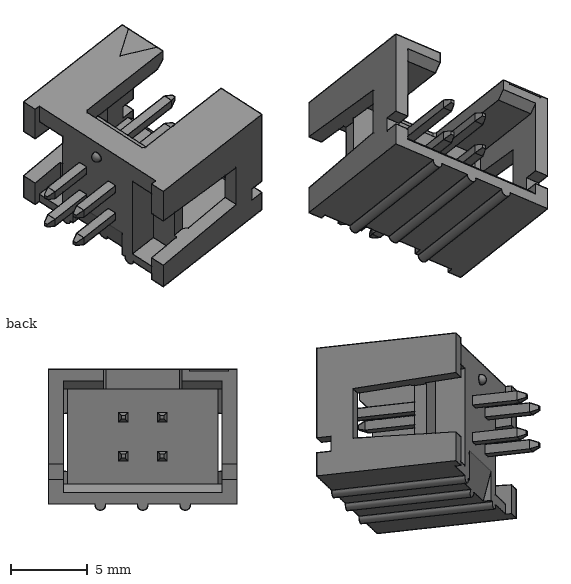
import cadquery as cq


WIDTH = 12.3
HEIGHT = 8.81
EAR_DEPTH = 9.59
WALL_DEPTH = 9.19
EAR_WIDTH = 1.03

CAVITY_WIDTH = 10.33
CAVITY_DEPTH = 6.33
PLATE = 1.31
CORNER_CHAMFER = 0.25
LEAD_IN = 0.54

SLOT_WIDTH = 5.1
SLOT_DEPTH = 7.53
SLOT_CHAMFER = 0.15

WINDOW_START = 2.5
WINDOW_FRONT_BOTTOM = 2.33
WINDOW_FRONT_TOP = 5.74
WINDOW_REAR_BOTTOM = 1.99
WINDOW_REAR_TOP = 6.08
WINDOW_CUT = WIDTH / 2 - CAVITY_WIDTH / 2 + CORNER_CHAMFER

NOTCH_DEPTH = 0.99
NOTCH_BOTTOM = 1.6
NOTCH_HEIGHT = 1.03

PIN_BLOCK_WIDTH = 6.15
POCKET_DEPTH = 2.04
POCKET_BOTTOM = 0.68
POCKET_TOP = 7.38

RELIEF_WIDTH = 4.35
RELIEF_HEIGHT = 2.0
RELIEF_DEPTH = 0.54

CRUSH_RADIUS = 0.35
CRUSH_BASE = 0.05
CRUSH_HEIGHT = CRUSH_BASE + CRUSH_RADIUS
RIB_PITCH = 2.77
BUMP_HEIGHT = 7.6

MARK_X = -4.33
MARK_WIDTH = 2.54
MARK_LENGTH = 2.23
MARK_THICKNESS = 0.13

PIN_SIDE = 0.64
PIN_PITCH = 2.54
POST_LENGTH = 5.95
TAIL_LENGTH = 3.63
TIP_SIDE = 0.25
TIP_LENGTH = 0.55
PIN_POSITIONS = [
    (column * PIN_PITCH / 2, HEIGHT / 2 + row * PIN_PITCH / 2)
    for column in (-1, 1)
    for row in (-1, 1)
]


def block(x_min, x_max, y_min, y_max, z_min, z_max):
    """Box between the given limits."""
    size = (x_max - x_min, y_max - y_min, z_max - z_min)
    return cq.Workplane("XY").box(*size, centered=False).translate((x_min, y_min, z_min))


def side_profile(points, x_min, x_max):
    """Prism along X of an outline given as (y, z) points."""
    return cq.Workplane("YZ").polyline(points).close().extrude(x_max - x_min).translate((x_min, 0, 0))


def body_with_ears():
    """Outer block whose mounting face is set back between the two end ears."""
    body = block(-WIDTH / 2, WIDTH / 2, -EAR_DEPTH, 0, 0, HEIGHT)
    ear_inner = WIDTH / 2 - EAR_WIDTH
    return body.cut(block(-ear_inner, ear_inner, -EAR_DEPTH, -WALL_DEPTH, 0, HEIGHT))


def cavity():
    """Mating cavity with chamfered inner corners and a lead-in above and below the mouth."""
    half = CAVITY_WIDTH / 2
    main = block(-half, half, -CAVITY_DEPTH, 0, PLATE, HEIGHT - PLATE)
    main = main.faces("<Y").edges("|Z").chamfer(CORNER_CHAMFER)
    lead_in = side_profile(
        [
            (0, PLATE - LEAD_IN),
            (0, HEIGHT - PLATE + LEAD_IN),
            (-LEAD_IN, HEIGHT - PLATE),
            (-LEAD_IN, PLATE),
        ],
        -half,
        half,
    )
    return main.union(lead_in)


def top_slot():
    """Slot through the top plate, running past the cavity into the rear wall."""
    slot = block(-SLOT_WIDTH / 2, SLOT_WIDTH / 2, -SLOT_DEPTH, 0, HEIGHT - PLATE, HEIGHT)
    return slot.faces("<Y").edges("|Z").chamfer(SLOT_CHAMFER)


def right_window():
    """Window through the +X side wall, open to the rear and growing taller toward it."""
    return side_profile(
        [
            (-WINDOW_START, WINDOW_FRONT_BOTTOM),
            (-WINDOW_START, WINDOW_FRONT_TOP),
            (-EAR_DEPTH, WINDOW_REAR_TOP),
            (-EAR_DEPTH, WINDOW_REAR_BOTTOM),
        ],
        WIDTH / 2 - WINDOW_CUT,
        WIDTH / 2,
    )


def right_pocket():
    """Pocket in the mounting face between the +X ear and the pin block."""
    return block(
        PIN_BLOCK_WIDTH / 2,
        WIDTH / 2 - EAR_WIDTH,
        -WALL_DEPTH,
        POCKET_DEPTH - WALL_DEPTH,
        POCKET_BOTTOM,
        POCKET_TOP,
    )


def side_cuts():
    """Windows and pockets of both sides, and the notch across the side walls at the mouth."""
    right = right_window().union(right_pocket())
    notch = block(-WIDTH / 2, WIDTH / 2, -NOTCH_DEPTH, 0, NOTCH_BOTTOM, NOTCH_BOTTOM + NOTCH_HEIGHT)
    return right.union(right.mirror("YZ")).union(notch)


def crush_ribs():
    """Ribs along the underside, each a straight base with a half-round tip."""
    profile = (
        cq.Workplane("XZ")
        .moveTo(-CRUSH_RADIUS, 0)
        .lineTo(-CRUSH_RADIUS, -CRUSH_BASE)
        .threePointArc((0, -CRUSH_HEIGHT), (CRUSH_RADIUS, -CRUSH_BASE))
        .lineTo(CRUSH_RADIUS, 0)
        .close()
    )
    middle_rib = profile.extrude(WALL_DEPTH)
    ribs = middle_rib
    for x in (-RIB_PITCH, RIB_PITCH):
        ribs = ribs.union(middle_rib.translate((x, 0, 0)))
    return ribs


def bump():
    """Dome on a short straight base, on the mounting face."""
    half_profile = (
        cq.Workplane("XY")
        .lineTo(CRUSH_RADIUS, 0)
        .lineTo(CRUSH_RADIUS, -CRUSH_BASE)
        .radiusArc((0, -CRUSH_HEIGHT), CRUSH_RADIUS)
        .close()
    )
    return half_profile.revolve(360, (0, 0), (0, 1)).translate((0, -WALL_DEPTH, BUMP_HEIGHT))


def lower_relief():
    """Wedge that slopes the lower middle of the mounting face, including the middle rib."""
    slope = RELIEF_DEPTH / RELIEF_HEIGHT
    bottom_depth = RELIEF_DEPTH + slope * CRUSH_HEIGHT
    return side_profile(
        [
            (-WALL_DEPTH, RELIEF_HEIGHT),
            (-WALL_DEPTH, -CRUSH_HEIGHT),
            (bottom_depth - WALL_DEPTH, -CRUSH_HEIGHT),
        ],
        -RELIEF_WIDTH / 2,
        RELIEF_WIDTH / 2,
    )


def make_mark():
    """Triangular pin 1 mark pointing away from the mouth."""
    return (
        cq.Workplane("XY", origin=(MARK_X, 0, HEIGHT - MARK_THICKNESS))
        .polyline([(-MARK_WIDTH / 2, 0), (MARK_WIDTH / 2, 0), (0, -MARK_LENGTH)])
        .close()
        .extrude(MARK_THICKNESS)
    )


def tapered_pin(x, z, y_seat, toward, length):
    """Square pin standing on the plane y = y_seat, pointing along +Y or -Y, with a tapered tip."""
    plane = cq.Plane(origin=(x, y_seat, z), xDir=(1, 0, 0), normal=(0, toward, 0))
    shank_length = length - TIP_LENGTH
    shank = cq.Workplane(plane).rect(PIN_SIDE, PIN_SIDE).extrude(shank_length)
    tip = (
        cq.Workplane(plane)
        .workplane(offset=shank_length)
        .rect(PIN_SIDE, PIN_SIDE)
        .workplane(offset=TIP_LENGTH)
        .rect(TIP_SIDE, TIP_SIDE)
        .loft(ruled=True)
    )
    return shank.union(tip)


def make_post(x, z):
    """Mating post seated on the cavity floor."""
    return tapered_pin(x, z, -CAVITY_DEPTH, 1, POST_LENGTH)


def make_tail(x, z):
    """Board tail seated on the mounting face, in line with a post."""
    return tapered_pin(x, z, -WALL_DEPTH, -1, TAIL_LENGTH)


def make_housing(mark):
    """Shrouded housing with crush ribs, bump and a recess for the pin 1 mark."""
    housing = body_with_ears().cut(cavity()).cut(side_cuts()).union(crush_ribs()).union(bump())
    return housing.cut(top_slot()).cut(lower_relief()).cut(mark)


mark = make_mark()
housing = make_housing(mark)
posts = [make_post(x, z) for x, z in PIN_POSITIONS]
tails = [make_tail(x, z) for x, z in PIN_POSITIONS]

result = cq.Compound.makeCompound(
    [
        housing.solids().val(),
        mark.val(),
        *[post.solids().val() for post in posts],
        *[tail.solids().val() for tail in tails],
    ]
)